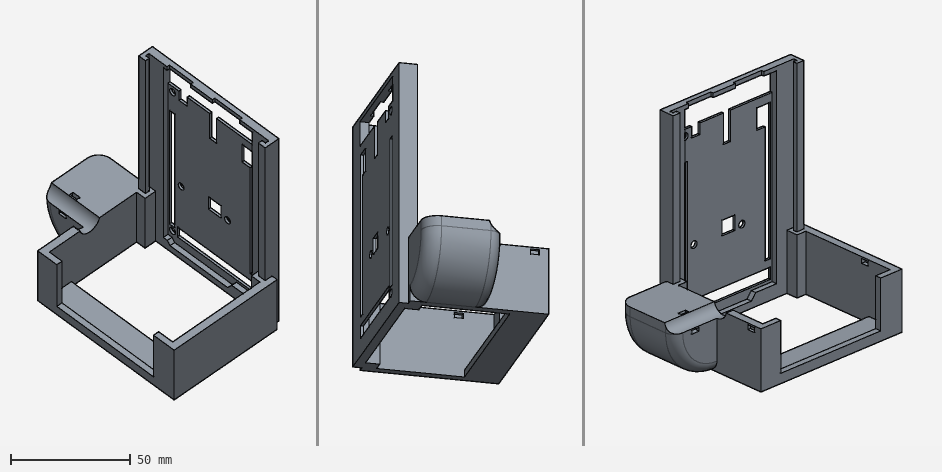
import cadquery as cq


tray_width = 82.1
tray_depth = 60.0
tray_height = 29.5
side_wall = 4.0
front_wall = 3.0
front_opening_left = -29.5
front_opening_right = 28.6
front_opening_sill = 4.9
floor_back = 15.9
floor_thickness = 3.1
post_half_gap = 32.0
post_front = 53.9

plate_width = 76.0
plate_thickness = 4.0
plate_height = 108.0
plate_back = tray_depth + plate_thickness

rail_depth = 4.0
neck_width = 2.0
neck_depth = 1.8
flange_width = 4.1

recess_left = -27.3
recess_right = 26.0
recess_top = 105.8
recess_bottom_left = 5.4
recess_bottom_right = 6.6
recess_depth = 2.7
channel_bottom = 3.5
channel_ramp_left = (-25.0, -23.3)
channel_ramp_right = (11.3, 13.8)
panel_top = 94.8
top_notches = [(-25.2, -10.9), (2.2, 18.6)]
top_notch_depth = 1.4

panel_openings = [
    (recess_left, recess_right, panel_top, recess_top),
    (-20.7, -15.9, 89.4, panel_top),
    (-2.3, 1.8, 80.1, panel_top),
    (17.2, 25.2, 80.1, 90.5),
    (22.0, 25.2, 17.6, 90.5),
    (-26.5, -23.3, 12.2, 79.3),
    (-21.7, 25.2, 8.0, 13.7),
    (-3.0, 4.4, 37.8, 45.0),
]
screw_hole_diameter = 3.5
screw_holes = [(-24.6, 91.4), (-24.6, 9.3), (-19.4, 39.3), (8.4, 39.3)]

pod_length = 25.0
pod_front = 26.6
pod_front_round = 5.1
pod_back_round = 7.0
edge_margin = 1.1
groove_radius = 5.8
groove_bottom = 25.1

tunnel_left = -55.6
tunnel_width = 4.2
tunnel_inner_radius = 6.6
tunnel_outer_radius = 8.3

latch_front_left = 4.0
latch_front_right = 16.4
latch_width = 3.9
latch_bottom = 26.4
latch_height = 2.3
latch_depth_left = 1.5
latch_depth_right = 2.0


def block(x_min, x_max, y_min, y_max, z_min, z_max):
    size = (x_max - x_min, y_max - y_min, z_max - z_min)
    return cq.Workplane("XY").box(*size, centered=False).translate((x_min, y_min, z_min))


def along_x(x_start, y, z, radius, length):
    return cq.Workplane("YZ", origin=(x_start, y, z)).circle(radius).extrude(length)


def make_tray():
    outer = tray_width / 2
    inner = outer - side_wall
    tray = block(-outer, outer, 0, tray_depth, 0, tray_height)
    tray = tray.cut(block(-inner, inner, front_wall, tray_depth, 0, tray_height))
    tray = tray.cut(
        block(front_opening_left, front_opening_right, 0, front_wall, front_opening_sill, tray_height)
    )
    tray = tray.union(block(-inner, inner, front_wall, floor_back, 0, floor_thickness))
    for inside, outside in ((-post_half_gap, -outer), (post_half_gap, outer)):
        left, right = sorted((inside, outside))
        tray = tray.union(block(left, right, post_front, tray_depth, 0, tray_height))
    return tray


def make_pod():
    right = -tray_width / 2
    left = right - pod_length
    pod = (
        cq.Workplane("XZ", origin=(0, tray_depth, 0))
        .moveTo(right, 0)
        .radiusArc((left, pod_length), pod_length)
        .lineTo(left, tray_height)
        .lineTo(right, tray_height)
        .close()
        .extrude(tray_depth - pod_front)
    )
    for face, radius in (("<Y", pod_front_round), (">Y", pod_back_round)):
        outer_edges = (
            pod.faces(face)
            .edges()
            .filter(lambda edge: edge.Center().z < tray_height - edge_margin)
            .filter(lambda edge: edge.Center().x < right - edge_margin)
        )
        pod = outer_edges.fillet(radius)
    return pod


def make_back_plate():
    half = plate_width / 2
    plate = block(-half, half, tray_depth, plate_back, 0, plate_height)
    flange_back = tray_depth - neck_depth
    for side in (-1, 1):
        for width, y_min, y_max in (
            (neck_width, flange_back, tray_depth),
            (flange_width, tray_depth - rail_depth, flange_back),
        ):
            left, right = sorted((side * half, side * (half - width)))
            plate = plate.union(block(left, right, y_min, y_max, 0, plate_height))
    return plate


def make_recess():
    left_ramp_top, left_ramp_foot = channel_ramp_left
    right_ramp_foot, right_ramp_top = channel_ramp_right
    outline = [
        (recess_left, recess_top),
        (recess_left, recess_bottom_left),
        (left_ramp_top, recess_bottom_left),
        (left_ramp_foot, channel_bottom),
        (right_ramp_foot, channel_bottom),
        (right_ramp_top, recess_bottom_right),
        (recess_right, recess_bottom_right),
        (recess_right, recess_top),
    ]
    return cq.Workplane("XZ", origin=(0, tray_depth, 0)).polyline(outline).close().extrude(-recess_depth)


def cut_back_plate(plate):
    plate = plate.cut(make_recess())
    for left, right in top_notches:
        plate = plate.cut(
            block(left, right, tray_depth, tray_depth + top_notch_depth, recess_top, plate_height)
        )
    for left, right, bottom, top in panel_openings:
        plate = plate.cut(block(left, right, tray_depth, plate_back, bottom, top))
    holes = (
        cq.Workplane("XZ", origin=(0, tray_depth, 0))
        .pushPoints(screw_holes)
        .circle(screw_hole_diameter / 2)
        .extrude(-plate_thickness)
    )
    return plate.cut(holes)


def make_groove_and_tunnel():
    axis_height = groove_bottom + groove_radius
    groove_start = -tray_width / 2 - pod_length
    groove_length = pod_length + side_wall
    groove = along_x(groove_start, pod_front, axis_height, groove_radius, groove_length)
    ring = along_x(tunnel_left, pod_front, axis_height, tunnel_outer_radius, tunnel_width)
    core = along_x(tunnel_left, pod_front, axis_height, tunnel_inner_radius, tunnel_width)
    return groove.union(ring.cut(core))


def make_latch_pockets():
    left_face = -tray_width / 2
    right_face = tray_width / 2 - side_wall
    pockets = cq.Workplane("XY")
    for face, front, depth in (
        (left_face, latch_front_left, latch_depth_left),
        (right_face, latch_front_right, latch_depth_right),
    ):
        pockets = pockets.union(
            block(
                face,
                face + depth,
                front,
                front + latch_width,
                latch_bottom,
                latch_bottom + latch_height,
            )
        )
    return pockets


body = make_tray().union(make_pod()).cut(make_groove_and_tunnel()).cut(make_latch_pockets())
result = body.union(cut_back_plate(make_back_plate()))